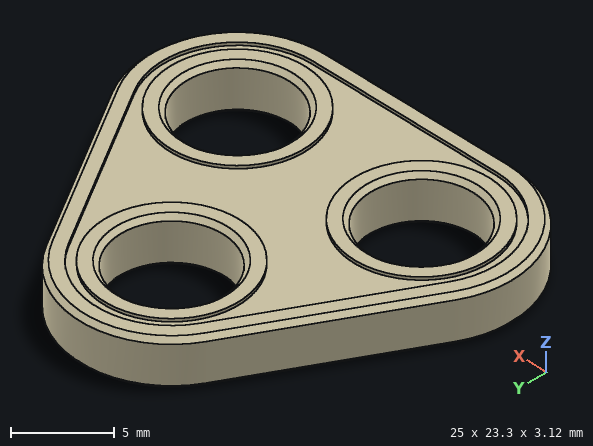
import cadquery as cq
import math

hole_spacing = 12.5
corner_radius = 6.25
thickness = 3.12
hole_diameter = 7.0
edge_chamfer = 0.3
collar_diameter = 9.2
rim_width = 1.1
recess_depth = 0.2

triangle_height = hole_spacing * math.sqrt(3) / 2
hole_centers = [
    (-hole_spacing / 2, 0),
    (hole_spacing / 2, 0),
    (0, triangle_height),
]


def rounded_triangle(radius, height, base_z):
    """Plate whose corners are arcs of the given radius about the hole centres."""
    return (
        cq.Workplane("XY", origin=(0, 0, base_z))
        .polyline(hole_centers)
        .close()
        .offset2D(radius)
        .extrude(height)
    )


def hole_cylinders(diameter, height, base_z):
    """One cylinder at every hole centre."""
    return (
        cq.Workplane("XY", origin=(0, 0, base_z))
        .pushPoints(hole_centers)
        .circle(diameter / 2)
        .extrude(height)
    )


plate = rounded_triangle(corner_radius, thickness, 0)
plate = plate.cut(hole_cylinders(hole_diameter, thickness, 0))
plate = plate.faces("<Z or >Z").chamfer(edge_chamfer)

floor_z = thickness - recess_depth
recess = rounded_triangle(corner_radius - rim_width, recess_depth, floor_z)
recess = recess.cut(hole_cylinders(collar_diameter, recess_depth, floor_z))

result = plate.cut(recess)